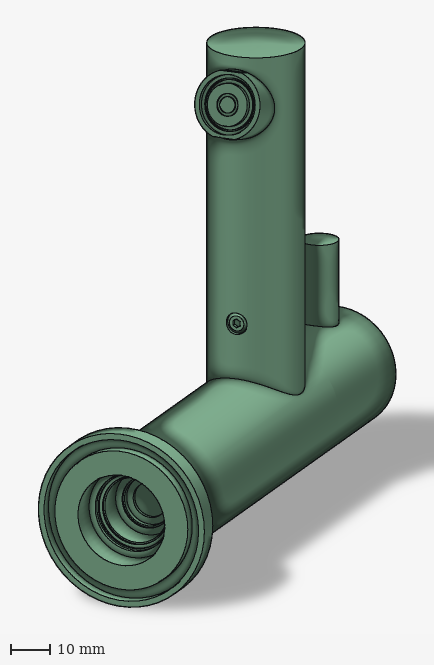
import cadquery as cq
import math


body_radius = 16.0
body_end_y = 137.0
body_crown = 0.48
handle_seam_y = 101.0

flange_radius = 23.0
flange_thickness = 5.3
groove_outer_radius = 21.4
groove_inner_radius = 18.4
groove_depth = 2.8

inlet_steps = [(12.0, 7.0), (10.3, 8.0), (9.9, 8.6), (9.0, 9.2), (8.6, 16.0), (6.8, 16.6), (6.4, 18.0), (4.6, 19.0)]

column_radius = 12.5
column_y = 85.0
column_top_z = 102.0
column_crown = 0.42

pin_radius = 5.0
pin_y = 125.0
pin_top_z = 37.5
pin_crown = 0.2

nozzle_radius = 9.0
nozzle_tilt = 15.0
nozzle_reach_y = 18.1
nozzle_face_z = 90.8
nozzle_flat_width = 6.0
nozzle_flat_length = 3.3

aerator_grooves = [(7.7, 5.5, 1.4), (6.8, 6.4, 2.0), (2.9, 2.1, 0.5)]

screw_z = 30.7
screw_hole_radius = 2.85
screw_hole_depth = 1.5
screw_point_radius = 2.0
screw_recess = 0.3
socket_sides = 6
socket_across_flats = 2.0
socket_depth = 1.0


def crowned_rod(radius, length, crown):
    """Rod along +Z from the origin, closed by a shallow domed end."""
    dome_radius = (radius**2 + crown**2) / (2 * crown)
    mid_radius = radius / 2
    dome_center = length + crown - dome_radius
    mid_height = dome_center + math.sqrt(dome_radius**2 - mid_radius**2)
    profile = (
        cq.Workplane("XZ")
        .lineTo(radius, 0)
        .lineTo(radius, length)
        .threePointArc((mid_radius, mid_height), (0, length + crown))
        .close()
    )
    return profile.revolve(360, (0, 0, 0), (0, 1, 0))


def ring(plane, outer_radius, inner_radius, depth):
    """Annular cutter running into the material behind a face plane."""
    return cq.Workplane(plane).circle(outer_radius).circle(inner_radius).extrude(-depth)


def stepped_bore(plane, steps):
    """Cutter made of coaxial cylinders that narrow with depth."""
    cutter = cq.Workplane(plane)
    for radius, depth in steps:
        cutter = cutter.union(cq.Workplane(plane).circle(radius).extrude(-depth))
    return cutter


def make_body():
    handle = crowned_rod(body_radius, body_end_y - handle_seam_y, body_crown)
    handle = handle.rotate((0, 0, 0), (1, 0, 0), -90).translate((0, handle_seam_y, 0))
    tube = cq.Workplane("XZ").circle(body_radius).extrude(-handle_seam_y)
    flange = cq.Workplane("XZ").circle(flange_radius).extrude(-flange_thickness)
    return tube.union(flange).union(handle, clean=False)


def cut_inlet(part):
    wall_face = cq.Plane(origin=(0, 0, 0), xDir=(1, 0, 0), normal=(0, -1, 0))
    groove = ring(wall_face, groove_outer_radius, groove_inner_radius, groove_depth)
    bore = stepped_bore(wall_face, inlet_steps)
    return part.cut(groove, clean=False).cut(bore, clean=False)


def add_column_and_pin(part):
    column = crowned_rod(column_radius, column_top_z, column_crown).translate((0, column_y, 0))
    pin = crowned_rod(pin_radius, pin_top_z, pin_crown).translate((0, pin_y, 0))
    return part.union(column, clean=False).union(pin, clean=False)


def add_nozzle(part):
    tilt = math.radians(nozzle_tilt)
    face = cq.Plane(
        origin=(0, column_y - nozzle_reach_y, nozzle_face_z),
        xDir=(1, 0, 0),
        normal=(0, -math.cos(tilt), math.sin(tilt)),
    )
    nozzle_length = nozzle_reach_y / math.cos(tilt)
    nozzle = cq.Workplane(face).circle(nozzle_radius).extrude(-nozzle_length)

    flat_height = math.sqrt(nozzle_radius**2 - (nozzle_flat_width / 2) ** 2)
    for side in (1, -1):
        flat = (
            cq.Workplane(face)
            .center(0, side * (flat_height + nozzle_radius / 2))
            .rect(2 * nozzle_radius, nozzle_radius)
            .extrude(-nozzle_flat_length)
        )
        nozzle = nozzle.cut(flat)

    part = part.union(nozzle, clean=False)
    for outer_radius, inner_radius, depth in aerator_grooves:
        part = part.cut(ring(face, outer_radius, inner_radius, depth), clean=False)
    return part


def add_set_screw(part):
    column_front = cq.Plane(
        origin=(0, column_y - column_radius, screw_z),
        xDir=(1, 0, 0),
        normal=(0, -1, 0),
    )
    hole = cq.Workplane(column_front).circle(screw_hole_radius).extrude(-screw_hole_depth)
    screw = (
        cq.Workplane(column_front)
        .workplane(offset=-screw_hole_depth)
        .circle(screw_hole_radius)
        .extrude(screw_hole_depth - screw_recess)
        .faces("<Y")
        .chamfer(screw_hole_radius - screw_point_radius)
    )
    socket = (
        cq.Workplane(column_front)
        .workplane(offset=-screw_recess)
        .polygon(socket_sides, socket_across_flats, circumscribed=True)
        .extrude(-socket_depth)
    )
    return part.cut(hole.cut(screw.cut(socket)), clean=False)


result = make_body()
result = add_column_and_pin(result)
result = cut_inlet(result)
result = add_nozzle(result)
result = add_set_screw(result)